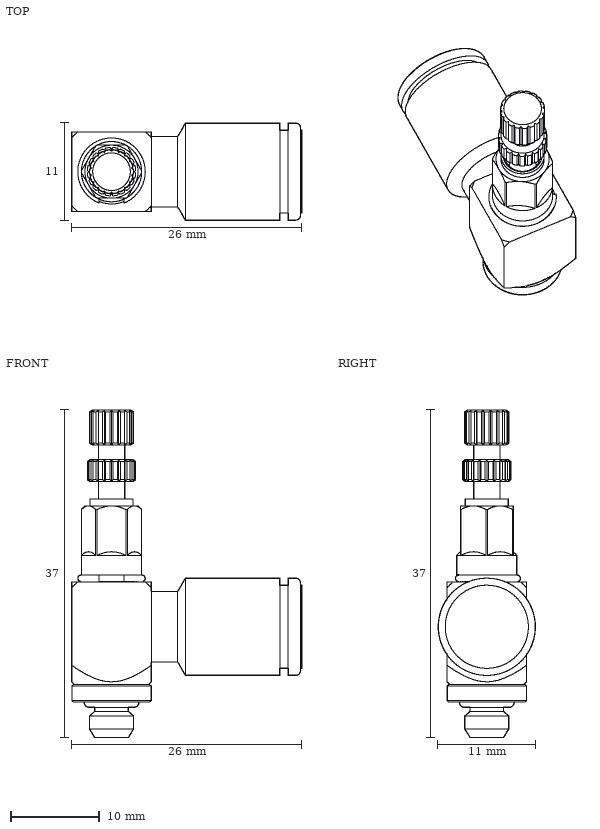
import cadquery as cq
import math


TOP_Z = 37.0
PORT_END_X = 21.5

BLOCK_SIDE = 9.0
BLOCK_BOTTOM_Z = 6.0
BLOCK_TOP_Z = 17.58
BLOCK_BASE_DIA = 8.4
TOP_CONE_DIA = 11.8
TOP_CONE_DROP = 0.65
PORT_Z = 12.5
PORT_NECK_DIA = 8.0
PORT_NECK_END_X = 7.47
PORT_DIA = 11.0
PORT_CONE_LENGTH = 0.85
PORT_SLEEVE_END_X = 19.0

COLLAR_TUBE_DIA = 9.4
COLLAR_FLANGE_START_X = 19.95
COLLAR_FLANGE_LENGTH = 1.4
COLLAR_ROUND = 0.55

STUD_DIA = 5.0
STUD_NECK_DIA = 3.8
STUD_TIP_CHAMFER_HEIGHT = 0.95
STUD_SHOULDER_Z = 2.45
STUD_SHOULDER_HEIGHT = 0.5
FLANGE_DIA = BLOCK_SIDE
FLANGE_BOTTOM_Z = 4.0
FLANGE_CHAMFER = 0.2
SEAL_RECESS_DIA = 6.2

HOUSING_DIA = 6.8
HEX_FLATS = 6.0
HEX_BOTTOM_Z = 20.57
HEX_TOP_Z = 26.15
RING_GROOVE_TOP_Z = 18.35
RING_GROOVE_DIA = 6.1
RIM_DIA = 4.9
RIM_TOP_Z = 26.95
SPINDLE_BORE_DIA = 4.0
SPINDLE_BORE_CHAMFER = 0.2

RING_OUTER_DIA = 7.62
RING_GAP = 2.78
BORE_MOUTH_DIA = 7.3

SHAFT_DIA = 3.0
KNOB_DIA = 5.0
KNOB_FACE_DIA = 4.25
KNOB_HEIGHT = 4.0
KNOB_GROOVES = 18
NUT_DIA = 5.48
NUT_FACE_DIA = 4.9
NUT_BOTTOM_Z = 28.9
NUT_HEIGHT = 2.48
NUT_GROOVES = 20
KNURL_BEVEL_HEIGHT = 0.22
KNURL_DEPTH = 0.2
FRONT_ANGLE = 270


def cylinder(diameter, bottom, top):
    """Vertical cylinder on the Z axis."""
    return cq.Workplane("XY").workplane(offset=bottom).circle(diameter / 2).extrude(top - bottom)


def turned(profile):
    """Solid of revolution about Z from (radius, z) points."""
    return cq.Workplane("XZ").polyline(profile).close().revolve(360, (0, 0), (0, 1))


def torus(centre_radius, wire_radius, z):
    """Ring of round section about Z."""
    section = cq.Workplane("XZ").center(centre_radius, z).circle(wire_radius)
    return section.revolve(360, (-centre_radius, 0), (-centre_radius, 1))


def knurled_disc(diameter, face_diameter, bottom, height, groove_count):
    """Disc with bevelled rims and evenly spaced 90 degree V grooves along its side."""
    radius = diameter / 2
    face_radius = face_diameter / 2
    top = bottom + height
    disc = turned([
        (0, bottom),
        (face_radius, bottom),
        (radius, bottom + KNURL_BEVEL_HEIGHT),
        (radius, top - KNURL_BEVEL_HEIGHT),
        (face_radius, top),
        (0, top),
    ])
    root_radius = radius - KNURL_DEPTH
    outer_radius = radius + KNURL_DEPTH
    groove_half_width = outer_radius - root_radius
    groove = (
        cq.Workplane("XY")
        .workplane(offset=bottom)
        .polyline([
            (root_radius, 0),
            (outer_radius, groove_half_width),
            (outer_radius, -groove_half_width),
        ])
        .close()
        .extrude(height)
    )
    for index in range(groove_count):
        angle = FRONT_ANGLE + index * 360 / groove_count
        disc = disc.cut(groove.rotate((0, 0, 0), (0, 0, 1), angle))
    return disc


def make_screw():
    """Knurled knob on a plain shaft that rests on the floor of the housing bore."""
    knob = knurled_disc(KNOB_DIA, KNOB_FACE_DIA, TOP_Z - KNOB_HEIGHT, KNOB_HEIGHT, KNOB_GROOVES)
    return knob.union(cylinder(SHAFT_DIA, HEX_BOTTOM_Z, TOP_Z - KNOB_HEIGHT))


def make_lock_nut():
    """Knurled ring that fits the screw shaft."""
    nut = knurled_disc(NUT_DIA, NUT_FACE_DIA, NUT_BOTTOM_Z, NUT_HEIGHT, NUT_GROOVES)
    return nut.cut(cylinder(SHAFT_DIA, NUT_BOTTOM_Z, NUT_BOTTOM_Z + NUT_HEIGHT))


def ring_wire_radius():
    """Section radius of the snap ring, which fills its groove from top to bottom."""
    return (RING_OUTER_DIA - RING_GROOVE_DIA) / 4


def make_housing():
    """Round housing through the block, milled to a hexagon above, with a ring groove and a spindle bore."""
    radius = HOUSING_DIA / 2
    flat_radius = HEX_FLATS / 2
    bevel = radius - flat_radius
    body = turned([
        (0, BLOCK_BOTTOM_Z),
        (radius, BLOCK_BOTTOM_Z),
        (radius, HEX_TOP_Z - bevel),
        (flat_radius, HEX_TOP_Z),
        (0, HEX_TOP_Z),
    ])
    shoulder = turned([
        (0, BLOCK_BOTTOM_Z),
        (radius, BLOCK_BOTTOM_Z),
        (radius, HEX_BOTTOM_Z),
        (flat_radius, HEX_BOTTOM_Z + bevel),
        (0, HEX_BOTTOM_Z + bevel),
    ])
    hexagon = (
        cq.Workplane("XY")
        .workplane(offset=BLOCK_BOTTOM_Z)
        .polygon(6, HEX_FLATS / math.cos(math.pi / 6))
        .extrude(HEX_TOP_Z - BLOCK_BOTTOM_Z)
    )
    housing = body.intersect(hexagon).union(shoulder)
    housing = housing.union(cylinder(RIM_DIA, HEX_TOP_Z, RIM_TOP_Z))
    bore_radius = SPINDLE_BORE_DIA / 2
    bore = turned([
        (0, HEX_BOTTOM_Z),
        (bore_radius, HEX_BOTTOM_Z),
        (bore_radius, RIM_TOP_Z - SPINDLE_BORE_CHAMFER),
        (bore_radius + SPINDLE_BORE_CHAMFER, RIM_TOP_Z),
        (0, RIM_TOP_Z),
    ])
    groove_bottom = RING_GROOVE_TOP_Z - 2 * ring_wire_radius()
    groove = cylinder(HOUSING_DIA, groove_bottom, RING_GROOVE_TOP_Z)
    groove = groove.cut(cylinder(RING_GROOVE_DIA, groove_bottom, RING_GROOVE_TOP_Z))
    return housing.cut(bore).cut(groove)


def make_snap_ring():
    """Open round-wire ring in the housing groove, with its gap facing -Y."""
    wire_radius = ring_wire_radius()
    centre_radius = RING_OUTER_DIA / 2 - wire_radius
    centre_z = RING_GROOVE_TOP_Z - wire_radius
    ring = torus(centre_radius, wire_radius, centre_z)
    gap_length = RING_OUTER_DIA / 2
    gap = cq.Workplane("XY").box(RING_GAP, gap_length, 2 * wire_radius)
    return ring.cut(gap.translate((0, -gap_length / 2, centre_z)))


def make_block():
    """Square block with turned corners, the tube port on its +X side and a bore for the housing."""
    half_side = BLOCK_SIDE / 2
    corner_radius = half_side * math.sqrt(2)
    base_radius = BLOCK_BASE_DIA / 2
    height = BLOCK_TOP_Z - BLOCK_BOTTOM_Z
    square = cq.Workplane("XY").box(BLOCK_SIDE, BLOCK_SIDE, height, centered=(True, True, False))
    square = square.translate((0, 0, BLOCK_BOTTOM_Z))
    envelope = turned([
        (0, BLOCK_BOTTOM_Z),
        (base_radius, BLOCK_BOTTOM_Z),
        (corner_radius, BLOCK_BOTTOM_Z + corner_radius - base_radius),
        (corner_radius, BLOCK_TOP_Z - TOP_CONE_DROP),
        (TOP_CONE_DIA / 2, BLOCK_TOP_Z),
        (0, BLOCK_TOP_Z),
    ])
    port = (
        cq.Workplane("XZ")
        .polyline([
            (0, PORT_Z),
            (0, PORT_Z + PORT_NECK_DIA / 2),
            (PORT_NECK_END_X, PORT_Z + PORT_NECK_DIA / 2),
            (PORT_NECK_END_X + PORT_CONE_LENGTH, PORT_Z + PORT_DIA / 2),
            (PORT_SLEEVE_END_X, PORT_Z + PORT_DIA / 2),
            (PORT_SLEEVE_END_X, PORT_Z),
        ])
        .close()
        .revolve(360, (0, PORT_Z), (1, PORT_Z))
    )
    bore_radius = HOUSING_DIA / 2
    mouth_radius = BORE_MOUTH_DIA / 2
    bore = turned([
        (0, BLOCK_BOTTOM_Z),
        (bore_radius, BLOCK_BOTTOM_Z),
        (bore_radius, BLOCK_TOP_Z - (mouth_radius - bore_radius)),
        (mouth_radius, BLOCK_TOP_Z),
        (0, BLOCK_TOP_Z),
    ])
    return square.intersect(envelope).union(port).cut(bore)


def make_collar():
    """Release collar: a short tube against the port sleeve and a flange with a rounded outer rim."""
    port_axis = cq.Workplane("YZ").center(0, PORT_Z)
    tube = (
        port_axis.workplane(offset=PORT_SLEEVE_END_X)
        .circle(COLLAR_TUBE_DIA / 2)
        .extrude(PORT_END_X - PORT_SLEEVE_END_X)
    )
    flange = (
        port_axis.workplane(offset=COLLAR_FLANGE_START_X)
        .circle(PORT_DIA / 2)
        .extrude(COLLAR_FLANGE_LENGTH)
        .faces(">X")
        .edges()
        .fillet(COLLAR_ROUND)
    )
    return tube.union(flange)


def seal_wire_radius():
    """Section radius of the O-ring that fills the recess from the stud neck outward."""
    return (SEAL_RECESS_DIA - STUD_NECK_DIA) / 4


def make_stud():
    """Threaded stud with a flange under the block and a recess for the O-ring."""
    radius = STUD_DIA / 2
    neck_radius = STUD_NECK_DIA / 2
    flange_radius = FLANGE_DIA / 2
    recess_radius = SEAL_RECESS_DIA / 2
    recess_z = FLANGE_BOTTOM_Z + seal_wire_radius()
    return turned([
        (0, 0),
        (neck_radius, 0),
        (radius, STUD_TIP_CHAMFER_HEIGHT),
        (radius, STUD_SHOULDER_Z),
        (neck_radius, STUD_SHOULDER_Z + STUD_SHOULDER_HEIGHT),
        (neck_radius, recess_z),
        (recess_radius, recess_z),
        (recess_radius, FLANGE_BOTTOM_Z),
        (flange_radius - FLANGE_CHAMFER, FLANGE_BOTTOM_Z),
        (flange_radius, FLANGE_BOTTOM_Z + FLANGE_CHAMFER),
        (flange_radius, BLOCK_BOTTOM_Z - FLANGE_CHAMFER),
        (flange_radius - FLANGE_CHAMFER, BLOCK_BOTTOM_Z),
        (0, BLOCK_BOTTOM_Z),
    ])


def make_seal():
    """O-ring half sunk in the flange recess."""
    wire_radius = seal_wire_radius()
    return torus(STUD_NECK_DIA / 2 + wire_radius, wire_radius, FLANGE_BOTTOM_Z)


screw = make_screw()
lock_nut = make_lock_nut()
housing = make_housing()
snap_ring = make_snap_ring()
block = make_block()
collar = make_collar()
stud = make_stud()
seal = make_seal()

result = cq.Compound.makeCompound([
    screw.val(),
    lock_nut.val(),
    housing.val(),
    snap_ring.val(),
    block.val(),
    collar.val(),
    stud.val(),
    seal.val(),
])